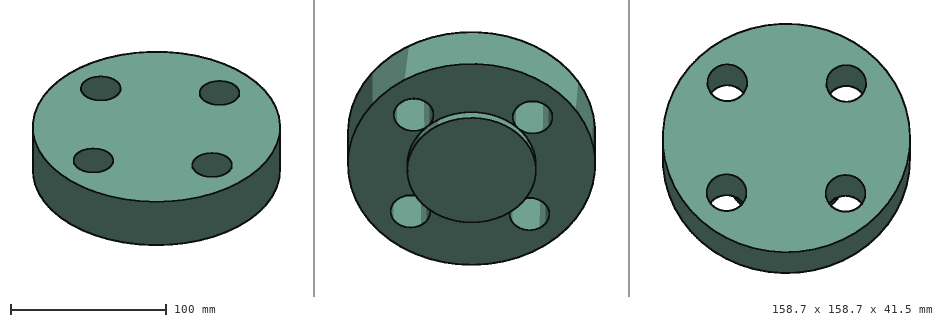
import cadquery as cq

flange_diameter = 158.7
total_height = 41.5
raised_face_diameter = 82.5
raised_face_height = 6.3
flange_thickness = total_height - raised_face_height

bolt_hole_count = 4
bolt_hole_diameter = 25.4
bolt_circle_diameter = 108.0


def make_blank():
    """Raised face standing on Z = 0, with the flange disc on top of it."""
    raised_face = cq.Workplane("XY").circle(raised_face_diameter / 2).extrude(raised_face_height)
    disc = (
        cq.Workplane("XY")
        .workplane(offset=raised_face_height)
        .circle(flange_diameter / 2)
        .extrude(flange_thickness)
    )
    return disc.union(raised_face)


def drill_bolt_holes(body):
    """Cut the ring of bolt holes right through the flange disc."""
    return (
        body.faces(">Z")
        .workplane(origin=(0, 0, total_height))
        .polarArray(bolt_circle_diameter / 2, 0, 360, bolt_hole_count)
        .hole(bolt_hole_diameter)
    )


result = drill_bolt_holes(make_blank())